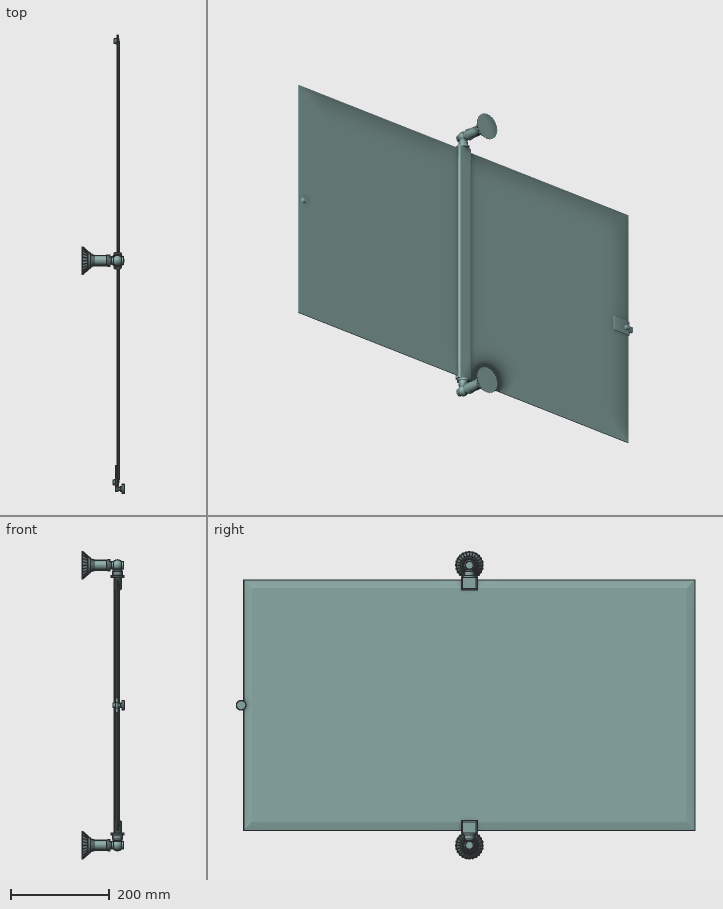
import cadquery as cq
import math


overall_depth = 85.3
overall_width = 929.26
overall_height = 622.98

glass_width = 914.4
glass_height = 508.0
glass_back_x = 70.0
glass_thickness = 5.6
bevel_width = 17.0
bevel_depth = 2.8

bar_width = 33.0
bar_thickness = 5.2
bar_chamfer = 3.0
bar_back_x = glass_back_x - bar_thickness
clip_lip = 0.4
clip_back_x = bar_back_x - clip_lip
clip_front_x = 80.0
clip_inner_z = 233.5
clip_outer_z = 259.0
clip_bevel = 3.0
clip_front_side_chamfer = 3.0
clip_back_side_chamfer = 2.0

flange_radius = 28.0
flange_rim = 1.2
skirt_end_x = 11.8
skirt_end_radius = 18.5
band_end_x = 16.8
band_end_radius = 15.0
shoulder_end_x = 19.5
shoulder_radius = 13.0
flute_count = 24
flute_width_share = 0.95
flute_radius_per_width = 0.68
flute_overrun = 6.0
post_z = overall_height / 2 - flange_radius

collar_end_x = 24.0
collar_radius = 11.3
barrel_end_x = 49.0
barrel_radius = 10.5
ring_step_x = 52.5
ring_step_radius = 11.0
ring_end_x = 56.0
ring_radius = 11.8
neck_end_x = 59.5
neck_radius = 7.2
neck_collar_radius = 8.0

ball_x = 71.5
ball_radius = 11.2
cap_radius = 8.0
cap_end_x = 84.0
pivot_neck_radius = 8.0
bead_radius = 10.0
bead_outer_z = 271.0
pivot_ring_radius = 8.8
pivot_ring_outer_z = 273.8
pivot_disc_radius = 13.0
pivot_disc_outer_z = 262.5

plate_length = 42.0
plate_height = 30.0
plate_thickness = 2.5
plate_back_x = glass_back_x - plate_thickness
tongue_width = 11.2
tongue_thickness = 5.0
tongue_reach = 10.0
glass_screw_y = 444.5
plate_screw_y = -449.0
screw_base_radius = 6.0
screw_top_radius = 4.5
screw_head_height = 5.6
knob_radius = 9.75
knob_disc_thickness = 4.8
knob_rim_fillet = 1.5
knob_neck_radius = 5.0
knob_neck_start_x = 78.0
stem_radius = 3.5
knob_y = glass_width / 2 - overall_width + knob_radius


def cylinder_x(x_start, x_end, radius, y=0.0):
    """Round bar along X between two X positions."""
    return cq.Workplane("YZ", origin=(x_start, y, 0)).circle(radius).extrude(x_end - x_start)


def cylinder_z(z_start, z_end, radius):
    """Upright round bar on the pivot axis."""
    return cq.Workplane("XY", origin=(ball_x, 0, z_start)).circle(radius).extrude(z_end - z_start)


def block(x_range, y_range, z_range):
    """Rectangular block from its limits on each axis."""
    size = [limits[1] - limits[0] for limits in (x_range, y_range, z_range)]
    corner = (x_range[0], y_range[0], z_range[0])
    return cq.Workplane("XY").box(*size, centered=False).translate(corner)


def make_glass():
    """Glass sheet with a wide shallow bevel round its front."""
    edge_thickness = glass_thickness - bevel_depth
    sheet = cq.Workplane("YZ", origin=(glass_back_x, 0, 0)).rect(glass_width, glass_height)
    bevel = (
        cq.Workplane("YZ", origin=(glass_back_x + edge_thickness, 0, 0))
        .rect(glass_width, glass_height)
        .workplane(offset=bevel_depth)
        .rect(glass_width - 2 * bevel_width, glass_height - 2 * bevel_width)
        .loft(ruled=True)
    )
    return sheet.extrude(edge_thickness).union(bevel)


def make_bar():
    """Back bar with its two long back edges bevelled."""
    bar = block(
        (bar_back_x, glass_back_x),
        (-bar_width / 2, bar_width / 2),
        (-clip_inner_z, clip_inner_z),
    )
    return bar.faces("<X").edges("|Z").chamfer(bar_chamfer)


def make_flute_cutter():
    """Tapered round cutter lying along the skirt."""
    run = skirt_end_x - flange_rim
    drop = flange_radius - skirt_end_radius
    slant = math.hypot(run, drop)
    outward = cq.Vector(drop / slant, run / slant, 0)

    def radius_and_centre(distance):
        """Cutter radius and centre at a distance along the skirt from its rim."""
        skirt_radius = flange_radius - drop * distance / slant
        width = flute_width_share * 2 * skirt_radius * math.sin(math.pi / flute_count)
        radius = flute_radius_per_width * width
        lift = math.sqrt(radius**2 - (width / 2) ** 2)
        chord_radius = skirt_radius * math.cos(math.pi / flute_count)
        centre = cq.Vector(flange_rim + run * distance / slant, chord_radius, 0) + outward * lift
        return radius, centre

    outer_radius, outer_centre = radius_and_centre(-flute_overrun)
    inner_radius, inner_centre = radius_and_centre(slant)
    axis = inner_centre - outer_centre
    return cq.Solid.makeCone(outer_radius, inner_radius, axis.Length, outer_centre, axis)


def make_flange():
    """Conical wall flange on the X axis, with tapered flutes around its skirt."""
    profile = [
        (0, 0),
        (0, flange_radius),
        (flange_rim, flange_radius),
        (skirt_end_x, skirt_end_radius),
        (band_end_x, band_end_radius),
        (band_end_x, 0),
    ]
    flange = cq.Workplane("XY").polyline(profile).close().revolve(360, (0, 0), (1, 0))

    cutter = make_flute_cutter()
    axis_start = cq.Vector(0, 0, 0)
    axis_end = cq.Vector(1, 0, 0)
    for index in range(flute_count):
        angle = (index + 0.5) * 360 / flute_count
        flange = flange.cut(cq.Workplane(cutter.rotate(axis_start, axis_end, angle)))
    return flange


def make_post():
    """Horizontal wall post: flange, stepped round stem, ball and end cap."""
    stem_steps = [
        (shoulder_end_x, shoulder_radius),
        (collar_end_x, collar_radius),
        (barrel_end_x, barrel_radius),
        (ring_step_x, ring_step_radius),
        (ring_end_x, ring_radius),
        (neck_end_x, neck_radius),
        (ball_x, neck_collar_radius),
        (cap_end_x, cap_radius),
    ]
    post = make_flange()
    step_start_x = band_end_x
    for step_end_x, step_radius in stem_steps:
        post = post.union(cylinder_x(step_start_x, step_end_x, step_radius))
        step_start_x = step_end_x
    return post.union(cq.Workplane("XY").sphere(ball_radius).translate((ball_x, 0, 0)))


def make_clip():
    """Clip over the glass edge, bevelled at its inner end and along its upright corners."""
    profile = [
        (clip_back_x, clip_outer_z),
        (clip_front_x, clip_outer_z),
        (clip_front_x, clip_inner_z + clip_bevel),
        (clip_front_x - clip_bevel, clip_inner_z),
        (bar_back_x, clip_inner_z),
        (clip_back_x, clip_inner_z + clip_bevel),
    ]
    clip = cq.Workplane("XZ").polyline(profile).close().extrude(bar_width / 2, both=True)
    clip = clip.faces(">X").edges("|Z").chamfer(clip_front_side_chamfer)
    return clip.faces("<X").edges("|Z").chamfer(clip_back_side_chamfer)


def make_upper_support():
    """Wall post, pivot and clip above the glass."""
    return (
        make_post()
        .translate((0, 0, post_z))
        .union(cylinder_z(bead_outer_z, post_z, pivot_neck_radius))
        .union(cylinder_z(bead_outer_z, pivot_ring_outer_z, pivot_ring_radius))
        .union(cylinder_z(pivot_disc_outer_z, bead_outer_z, bead_radius))
        .union(cylinder_z(clip_outer_z, pivot_disc_outer_z, pivot_disc_radius))
        .union(make_clip())
    )


def make_screw(y, seat_x):
    """Tapered screw head standing off its seat towards the wall."""
    return (
        cq.Workplane("YZ", origin=(seat_x, y, 0))
        .circle(screw_base_radius)
        .workplane(offset=-screw_head_height)
        .circle(screw_top_radius)
        .loft()
    )


def make_latch():
    """Latch plate behind the -Y edge, with a tongue past the glass that holds the knob."""
    edge_y = -glass_width / 2
    plate = block(
        (plate_back_x, glass_back_x),
        (edge_y, edge_y + plate_length),
        (-plate_height / 2, plate_height / 2),
    )
    tongue = block(
        (plate_back_x, plate_back_x + tongue_thickness),
        (edge_y - tongue_reach, edge_y),
        (-tongue_width / 2, tongue_width / 2),
    )
    disc_x = overall_depth - knob_disc_thickness
    stem = cylinder_x(glass_back_x, disc_x, stem_radius, knob_y)
    neck = cylinder_x(knob_neck_start_x, disc_x, knob_neck_radius, knob_y)
    disc = cylinder_x(disc_x, overall_depth, knob_radius, knob_y).edges().fillet(knob_rim_fillet)
    return plate.union(tongue).union(stem).union(neck).union(disc)


upper_support = make_upper_support()
lower_support = upper_support.mirror("XY")

result = (
    make_glass()
    .union(make_bar())
    .union(upper_support)
    .union(lower_support)
    .union(make_latch())
    .union(make_screw(glass_screw_y, glass_back_x))
    .union(make_screw(plate_screw_y, plate_back_x))
)